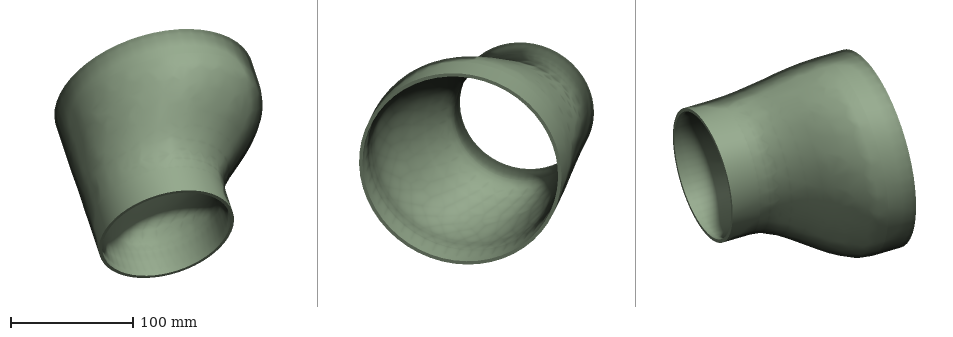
import cadquery as cq
import math

length = 140.0
large_diameter = 168.3
small_diameter = 114.3
large_bore = 162.5
wall = (large_diameter - large_bore) / 2
collar_length = 25.0
section_count = 13

transition_length = length - 2 * collar_length
small_center_y = -(large_diameter - small_diameter) / 2


def blend(fraction):
    """S-curve from 0 to 1 that leaves both ends tangent to the collars."""
    return (1 - math.cos(math.pi * fraction)) / 2


def circle_wire(x, center_y, radius):
    return cq.Wire.makeCircle(radius, cq.Vector(x, center_y, 0), cq.Vector(1, 0, 0))


def collar(x, center_y, radius):
    return cq.Solid.makeCylinder(radius, collar_length, cq.Vector(x, center_y, 0), cq.Vector(1, 0, 0))


def transition(inset):
    """Solid lofted through circles that shrink and shift toward -Y."""
    sections = []
    for index in range(section_count):
        fraction = index / (section_count - 1)
        share = blend(fraction)
        diameter = large_diameter + (small_diameter - large_diameter) * share
        x = collar_length + transition_length * fraction
        sections.append(circle_wire(x, small_center_y * share, diameter / 2 - inset))
    return cq.Solid.makeLoft(sections)


def reducer_body(inset):
    """Full-length reducer, smaller all round by the given inset."""
    large_collar = collar(0, 0, large_diameter / 2 - inset)
    small_collar = collar(length - collar_length, small_center_y, small_diameter / 2 - inset)
    return cq.Workplane(large_collar).union(transition(inset)).union(small_collar)


result = reducer_body(0).cut(reducer_body(wall))